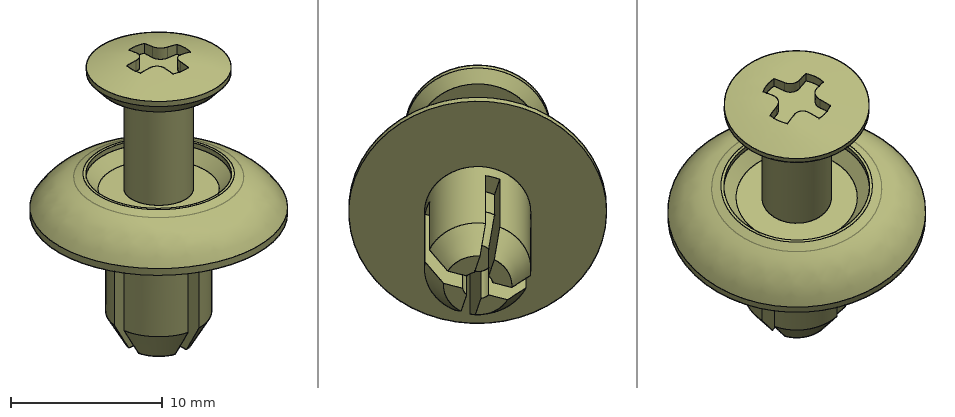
import cadquery as cq
import math

taper_end_z = 2.17
flange_bottom_z = 9.5
flange_rim_z = 10.0
flange_shoulder_z = 12.26
flange_top_z = 12.52
overall_height = 21.25

flange_radius = 8.5
flange_shoulder_radius = 5.6
flange_top_radius = 5.0
dome_mid_radius = 7.29
dome_mid_z = 11.37
barrel_radius = 3.5
tip_radius = 2.25
recess_radius = 4.8
recess_floor_radius = 4.0
recess_wall_depth = 0.36
recess_depth = 1.15
slot_width = 0.98
slot_top_z = 8.37

shank_radius = 2.3
pin_end_radius = 1.02
pin_end_z = 3.53
pin_taper_top_z = 5.75
head_radius = 4.78
head_bottom_radius = 4.04
head_bottom_z = 19.34
head_cone_top_z = 20.15
head_rim_top_z = 20.53
neck_fillet = 0.32

cross_arm_width = 1.35
cross_tip_radius = 2.3
cross_corner_fillet = 0.7
cross_floor_z = 20.4

corner_centre = cross_arm_width / 2 + cross_corner_fillet
corner_distance = math.sqrt(2) * corner_centre - cross_corner_fillet
crown_fraction = 1 - (corner_distance / head_radius) ** 2
dome_peak_z = head_rim_top_z + (overall_height - head_rim_top_z) / crown_fraction
dome_rise = dome_peak_z - head_rim_top_z
dome_sphere_radius = (head_radius**2 + dome_rise**2) / (2 * dome_rise)
dome_arc_mid_radius = head_radius / 2
dome_arc_mid_z = (
    dome_peak_z - dome_sphere_radius + math.sqrt(dome_sphere_radius**2 - dome_arc_mid_radius**2)
)


def revolve_about_z(profile):
    """Turn a closed (radius, height) profile around the Z axis."""
    return profile.revolve(360, (0, 0, 0), (0, 1, 0))


def make_leg_slots():
    """Two crossing slots that split the barrel into four legs."""
    slots = cq.Workplane("XY")
    for length_x, length_y in (
        (2 * flange_radius, slot_width),
        (slot_width, 2 * flange_radius),
    ):
        slots = slots.union(
            cq.Workplane("XY").box(length_x, length_y, slot_top_z, centered=(True, True, False))
        )
    return slots


def make_grommet():
    """Domed flange and slotted barrel, with a bore that follows the pin."""
    recess_floor_z = flange_top_z - recess_depth
    profile = (
        cq.Workplane("XZ")
        .moveTo(pin_end_radius, 0)
        .lineTo(tip_radius, 0)
        .lineTo(barrel_radius, taper_end_z)
        .lineTo(barrel_radius, flange_bottom_z)
        .lineTo(flange_radius, flange_bottom_z)
        .lineTo(flange_radius, flange_rim_z)
        .threePointArc((dome_mid_radius, dome_mid_z), (flange_shoulder_radius, flange_shoulder_z))
        .lineTo(flange_top_radius, flange_top_z)
        .lineTo(recess_radius, flange_top_z)
        .lineTo(recess_radius, flange_top_z - recess_wall_depth)
        .lineTo(recess_floor_radius, recess_floor_z)
        .lineTo(shank_radius, recess_floor_z)
        .lineTo(shank_radius, pin_taper_top_z)
        .lineTo(pin_end_radius, pin_end_z)
        .close()
    )
    return revolve_about_z(profile).cut(make_leg_slots())


def make_cross_recess():
    """Cross with rounded inner corners and arm ends on a common circle."""
    height = overall_height + dome_rise - cross_floor_z
    arm_length = 2 * head_radius
    base = cq.Workplane("XY").workplane(offset=cross_floor_z)
    cross = base.rect(arm_length, cross_arm_width).extrude(height)
    cross = cross.union(base.rect(cross_arm_width, arm_length).extrude(height))
    inner_corners = cq.selectors.BoxSelector(
        (-cross_arm_width, -cross_arm_width, 0),
        (cross_arm_width, cross_arm_width, 2 * overall_height),
    )
    cross = cross.edges("|Z").edges(inner_corners).fillet(cross_corner_fillet)
    return cross.intersect(base.circle(cross_tip_radius).extrude(height))


def make_pin():
    """Shank, countersunk head and cross recess."""
    fillet_mid_offset = neck_fillet * (1 - math.sqrt(0.5))
    profile = (
        cq.Workplane("XZ")
        .moveTo(0, pin_end_z)
        .lineTo(pin_end_radius, pin_end_z)
        .lineTo(shank_radius, pin_taper_top_z)
        .lineTo(shank_radius, head_bottom_z - neck_fillet)
        .threePointArc(
            (shank_radius + fillet_mid_offset, head_bottom_z - fillet_mid_offset),
            (shank_radius + neck_fillet, head_bottom_z),
        )
        .lineTo(head_bottom_radius, head_bottom_z)
        .lineTo(head_radius, head_cone_top_z)
        .lineTo(head_radius, head_rim_top_z)
        .threePointArc((dome_arc_mid_radius, dome_arc_mid_z), (0, dome_peak_z))
        .close()
    )
    return revolve_about_z(profile).cut(make_cross_recess())


grommet = make_grommet()
pin = make_pin()

result = cq.Compound.makeCompound([grommet.val(), pin.val()])